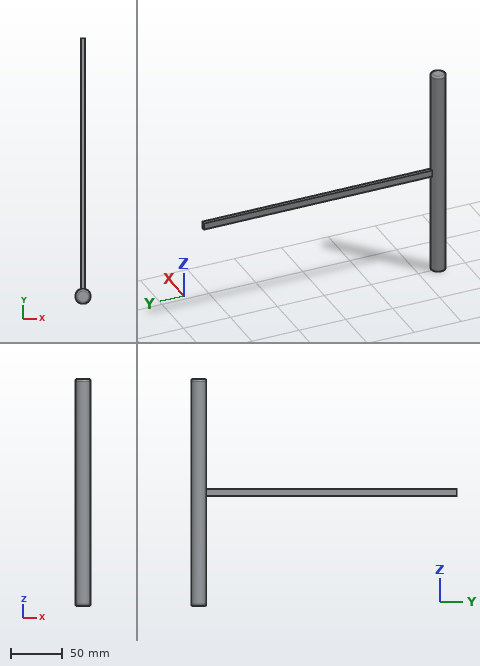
import cadquery as cq

handle_diameter = 15.0
handle_length = 220.0
end_rounding = 2.0

overall_depth = 257.5
bar_width = 4.0
bar_height = 7.0
bar_reach = overall_depth - handle_diameter / 2

handle = (
    cq.Workplane("XY")
    .cylinder(handle_length, handle_diameter / 2)
    .faces("<Z or >Z")
    .fillet(end_rounding)
)

bar = cq.Workplane("XY").box(bar_width, bar_reach, bar_height, centered=(True, False, True))

result = handle.union(bar)